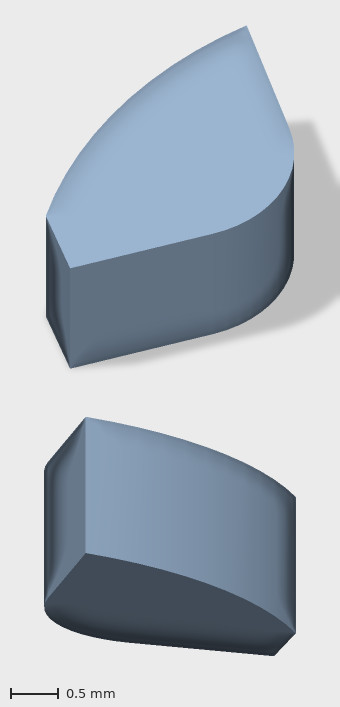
import cadquery as cq
import math

length = 2.92
thickness = 1.5
left_tip_y = 2.797
foot_x = 2.108
heel_y = 0.032
shoulder_x = 2.79
shoulder_y = 2.818
shoulder_radius = 1.255
bulge = 0.342

left_tip = (0, left_tip_y)
foot = (foot_x, 0)
heel = (length, heel_y)
shoulder = (shoulder_x, shoulder_y)

chord = math.hypot(foot_x, left_tip_y)
bulge_point = (
    foot_x / 2 - bulge * left_tip_y / chord,
    left_tip_y / 2 - bulge * foot_x / chord,
)

plate = (
    cq.Workplane("XY")
    .moveTo(*left_tip)
    .threePointArc(bulge_point, foot)
    .lineTo(*heel)
    .lineTo(*shoulder)
    .close()
    .extrude(thickness)
)

shoulder_edge = cq.selectors.NearestToPointSelector((*shoulder, thickness / 2))
result = plate.edges("|Z").edges(shoulder_edge).fillet(shoulder_radius)